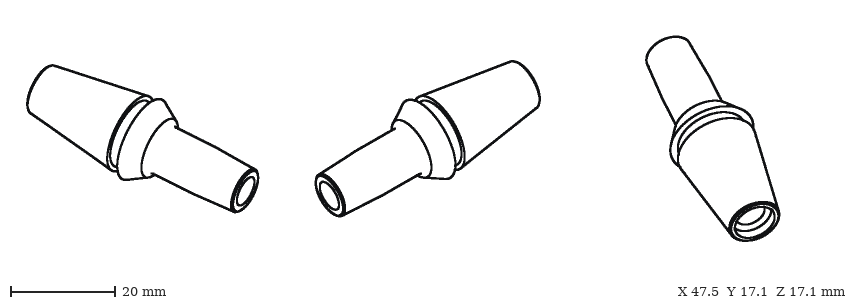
import cadquery as cq
import math

length = 47.5
cone_end = 20.75
flange_start = 23.45
flange_end = 27.5
tip_taper_start = 37.9

cone_small_radius = 5.15
cone_large_radius = 8.0
neck_radius = 7.0
flange_radius = 8.55
shank_radius = 5.0
tip_radius = 4.55
flange_slope = 30.0
flange_back_radius = flange_radius - (flange_end - flange_start) * math.tan(math.radians(flange_slope))

root_fillet = 1.0
end_chamfer = 0.3

bore_radius = 3.0
counterbore_radius = 4.1
counterbore_depth = 1.9
step_length = 0.65


def make_body():
    """Revolve the outer half profile about the X axis."""
    fillet_inset = root_fillet * (1 - math.sqrt(0.5))
    return (
        cq.Workplane("XY")
        .moveTo(0, 0)
        .lineTo(0, cone_small_radius - end_chamfer)
        .lineTo(end_chamfer, cone_small_radius)
        .lineTo(cone_end, cone_large_radius)
        .lineTo(cone_end, neck_radius)
        .lineTo(flange_start, neck_radius)
        .lineTo(flange_start, flange_radius)
        .lineTo(flange_end, flange_back_radius)
        .lineTo(flange_end, shank_radius + root_fillet)
        .threePointArc(
            (flange_end + fillet_inset, shank_radius + fillet_inset),
            (flange_end + root_fillet, shank_radius),
        )
        .lineTo(tip_taper_start, shank_radius)
        .lineTo(length - end_chamfer, tip_radius)
        .lineTo(length, tip_radius - end_chamfer)
        .lineTo(length, 0)
        .close()
        .revolve(360, (0, 0), (1, 0))
    )


def make_bore():
    """Through bore with a counterbore that narrows through a conical step."""
    return (
        cq.Workplane("XY")
        .moveTo(0, 0)
        .lineTo(0, counterbore_radius)
        .lineTo(counterbore_depth, counterbore_radius)
        .lineTo(counterbore_depth + step_length, bore_radius)
        .lineTo(length, bore_radius)
        .lineTo(length, 0)
        .close()
        .revolve(360, (0, 0), (1, 0))
    )


result = make_body().cut(make_bore())